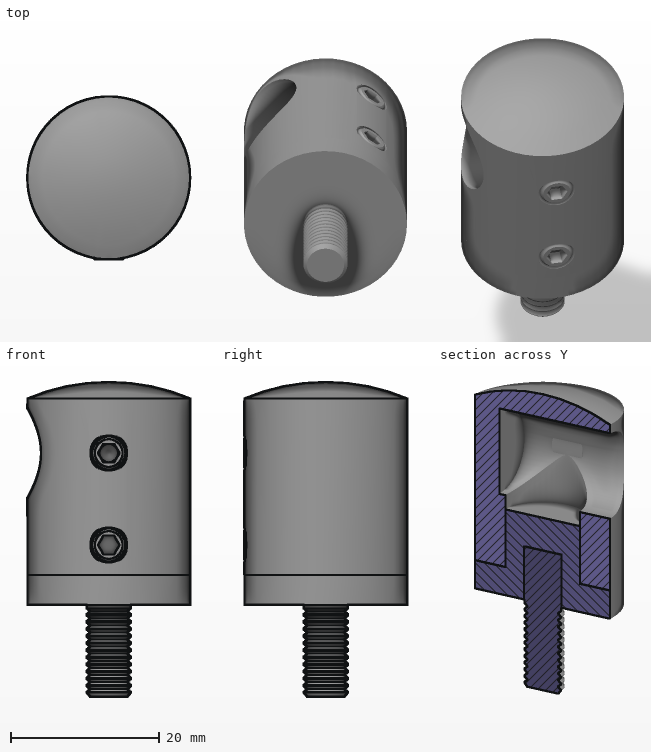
import cadquery as cq
import math

BODY_DIAMETER = 22.0
BODY_RADIUS = BODY_DIAMETER / 2
TOTAL_HEIGHT = 42.45
DOME_HEIGHT = 2.25
DOME_EDGE_Z = TOTAL_HEIGHT - DOME_HEIGHT

PLATE_BOTTOM_Z = 12.4
PLATE_THICKNESS = 4.05
PLATE_TOP_Z = PLATE_BOTTOM_Z + PLATE_THICKNESS
PLUG_DIAMETER = 12.0
PLUG_HEIGHT = 8.3

ROD_HOLE_DIAMETER = 12.2
ROD_HOLE_Z = 32.85
ROD_HOLE_END_X = 7.0

STUD_DIAMETER = 6.0
STUD_RADIUS = STUD_DIAMETER / 2
STUD_ROOT_RADIUS = 5.0 / 2
STUD_DEPTH_IN_BASE = 7.6
STUD_TIP_CHAMFER_HEIGHT = 0.55
RIDGE_COUNT = 13
RIDGE_PITCH = PLATE_BOTTOM_Z / RIDGE_COUNT
RIDGE_CREST_WIDTH = 0.15
GROOVE_OFFSET = 0.1

SCREW_DIAMETER = 5.0
SCREW_FACE_DIAMETER = 3.75
SCREW_CHAMFER_HEIGHT = 0.72
SCREW_LENGTH = BODY_RADIUS - PLUG_DIAMETER / 2
LOWER_SCREW_Z = 20.45
SOCKET_ACROSS_FLATS = 2.5
SOCKET_DEPTH = 2.0
SOCKET_CONE_HEIGHT = 0.72

MOUTH_LIP_DIAMETER = 4.7
MOUTH_ROOT_DIAMETER = 4.2
MOUTH_CREST_DEPTH = 0.25
THREAD_HALF_ANGLE = math.radians(30)


def cylinder_z(diameter, bottom, top):
    return cq.Workplane("XY").workplane(offset=bottom).circle(diameter / 2).extrude(top - bottom)


def revolve_about_screw_axis(profile, z):
    """Turn a profile of (radius, depth below the housing surface) points about the screw axis at height z."""
    points = [(radius, depth - BODY_RADIUS) for radius, depth in profile]
    return (
        cq.Workplane("XY", origin=(0, 0, z))
        .polyline(points)
        .close()
        .revolve(360, (0, 0), (0, 1))
    )


def make_screw_blank(z):
    """Screw without its socket; the same shape also cuts the screw hole."""
    profile = [
        (0, 0),
        (SCREW_FACE_DIAMETER / 2, 0),
        (SCREW_DIAMETER / 2, SCREW_CHAMFER_HEIGHT),
        (SCREW_DIAMETER / 2, SCREW_LENGTH),
        (0, SCREW_LENGTH),
    ]
    return revolve_about_screw_axis(profile, z)


def make_hole_mouth(z):
    """Thread groove that widens from its lip to the crest, then narrows toward the root."""
    flank_depth = (SCREW_DIAMETER - MOUTH_ROOT_DIAMETER) / 2 * math.tan(THREAD_HALF_ANGLE)
    mouth_depth = MOUTH_CREST_DEPTH + flank_depth
    profile = [
        (0, 0),
        (MOUTH_LIP_DIAMETER / 2, 0),
        (SCREW_DIAMETER / 2, MOUTH_CREST_DEPTH),
        (MOUTH_ROOT_DIAMETER / 2, mouth_depth),
        (0, mouth_depth),
    ]
    return revolve_about_screw_axis(profile, z)


def make_housing():
    """Domed post with the rod hole, the plug bore and both screw holes."""
    dome_radius = (BODY_RADIUS**2 + DOME_HEIGHT**2) / (2 * DOME_HEIGHT)
    mid_angle = math.asin(BODY_RADIUS / dome_radius) / 2
    dome_middle = (
        dome_radius * math.sin(mid_angle),
        TOTAL_HEIGHT - dome_radius * (1 - math.cos(mid_angle)),
    )
    housing = (
        cq.Workplane("XZ")
        .moveTo(0, PLATE_TOP_Z)
        .lineTo(BODY_RADIUS, PLATE_TOP_Z)
        .lineTo(BODY_RADIUS, DOME_EDGE_Z)
        .threePointArc(dome_middle, (0, TOTAL_HEIGHT))
        .close()
        .revolve(360, (0, 0), (0, 1))
    )
    rod_hole = (
        cq.Workplane("YZ")
        .workplane(offset=-BODY_RADIUS)
        .center(0, ROD_HOLE_Z)
        .circle(ROD_HOLE_DIAMETER / 2)
        .extrude(BODY_RADIUS + ROD_HOLE_END_X)
    )
    plug_bore = cylinder_z(PLUG_DIAMETER, PLATE_TOP_Z, ROD_HOLE_Z)
    housing = housing.cut(rod_hole).cut(plug_bore)
    for screw_z in (LOWER_SCREW_Z, ROD_HOLE_Z):
        housing = housing.cut(make_screw_blank(screw_z)).cut(make_hole_mouth(screw_z))
    return housing


def make_base():
    """Plate and plug in one piece, with a blind hole for the stud."""
    plate = cylinder_z(BODY_DIAMETER, PLATE_BOTTOM_Z, PLATE_TOP_Z)
    plug = cylinder_z(PLUG_DIAMETER, PLATE_TOP_Z, PLATE_TOP_Z + PLUG_HEIGHT)
    stud_hole = cylinder_z(STUD_DIAMETER, PLATE_BOTTOM_Z, PLATE_BOTTOM_Z + STUD_DEPTH_IN_BASE)
    return plate.union(plug).cut(stud_hole)


def make_stud():
    """Stud with ring ridges below the plate and a plain shank inside the base."""
    groove_half_width = (RIDGE_PITCH - RIDGE_CREST_WIDTH) / 2
    shank_top = PLATE_BOTTOM_Z + STUD_DEPTH_IN_BASE
    outline = cq.Workplane("XZ").moveTo(0, 0).lineTo(STUD_ROOT_RADIUS, 0)
    outline = outline.lineTo(STUD_RADIUS, STUD_TIP_CHAMFER_HEIGHT)
    for groove in range(1, RIDGE_COUNT):
        root_z = groove * RIDGE_PITCH + GROOVE_OFFSET
        outline = (
            outline.lineTo(STUD_RADIUS, root_z - groove_half_width)
            .lineTo(STUD_ROOT_RADIUS, root_z)
            .lineTo(STUD_RADIUS, root_z + groove_half_width)
        )
    outline = outline.lineTo(STUD_RADIUS, shank_top).lineTo(0, shank_top).close()
    return outline.revolve(360, (0, 0), (0, 1))


def make_screw(z, pointed_socket):
    """Set screw with a hexagon socket whose floor is flat or ends in a drilled cone."""
    screw = make_screw_blank(z)
    face = cq.Workplane("XZ", origin=(0, -BODY_RADIUS, z))
    across_corners = SOCKET_ACROSS_FLATS / math.cos(math.pi / 6)
    screw = screw.cut(face.polygon(6, across_corners).extrude(-SOCKET_DEPTH))
    if pointed_socket:
        floor = cq.Vector(0, SOCKET_DEPTH - BODY_RADIUS, z)
        cone = cq.Solid.makeCone(SOCKET_ACROSS_FLATS / 2, 0, SOCKET_CONE_HEIGHT, floor, cq.Vector(0, 1, 0))
        screw = screw.cut(cq.Workplane(cone))
    return screw


housing = make_housing()
base = make_base()
stud = make_stud()
screws = [
    make_screw(z, pointed_socket)
    for z, pointed_socket in ((LOWER_SCREW_Z, False), (ROD_HOLE_Z, True))
]

result = cq.Compound.makeCompound(
    [housing.val(), base.val(), stud.val(), *[screw.val() for screw in screws]]
)